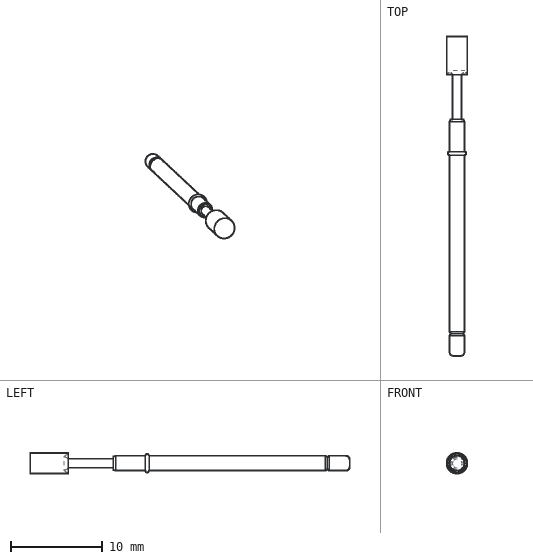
import cadquery as cq


overall_length = 35.1
head_length = 4.2
neck_length = 4.9
collar_setback = 3.75
groove_setback = 2.47

head_diameter = 2.3
neck_diameter = 1.02
barrel_diameter = 1.65
collar_diameter = 2.05

collar_width = 0.4
shoulder_chamfer_length = 0.27
shoulder_chamfer_depth = 0.09
tip_round = 0.44
groove_width = 0.44
groove_depth = 0.15

trench_depth = 0.5
trench_root_diameter = 1.56
trench_rim_width = 0.005

neck_end = neck_length
tip_end = head_length + neck_length - overall_length
collar_centre = -collar_setback
groove_centre = tip_end + groove_setback

head_radius = head_diameter / 2
neck_radius = neck_diameter / 2
barrel_radius = barrel_diameter / 2
collar_radius = collar_diameter / 2
trench_root_radius = trench_root_diameter / 2


def rod(radius, start, length):
    """Round bar about the Y axis running from `start` toward +Y."""
    return cq.Workplane("XZ", origin=(0, start, 0)).circle(radius).extrude(-length)


def revolve_about_y(profile):
    """Full turn of an XY profile about the Y axis."""
    return profile.revolve(360, (0, 0, 0), (0, 1, 0))


def barrel():
    """Barrel with a rounded tip and a chamfered shoulder."""
    body = rod(barrel_radius, tip_end, -tip_end)
    body = body.faces("<Y").edges().fillet(tip_round)
    return body.faces(">Y").edges().chamfer(shoulder_chamfer_length, shoulder_chamfer_depth)


def collar():
    """Press ring with an arc-shaped crown standing on the barrel."""
    half_width = collar_width / 2
    profile = (
        cq.Workplane("XY")
        .moveTo(neck_radius, collar_centre - half_width)
        .lineTo(barrel_radius, collar_centre - half_width)
        .threePointArc(
            (collar_radius, collar_centre),
            (barrel_radius, collar_centre + half_width),
        )
        .lineTo(neck_radius, collar_centre + half_width)
        .close()
    )
    return revolve_about_y(profile)


def groove_cutter():
    """Crimp groove with a shallow V section."""
    half_width = groove_width / 2
    profile = (
        cq.Workplane("XY")
        .moveTo(barrel_radius - groove_depth, groove_centre)
        .lineTo(barrel_radius, groove_centre + half_width)
        .lineTo(head_radius, groove_centre + half_width)
        .lineTo(head_radius, groove_centre - half_width)
        .lineTo(barrel_radius, groove_centre - half_width)
        .close()
    )
    return revolve_about_y(profile)


def head_trench_cutter():
    """Ring-shaped V trench between the neck and the rim of the head."""
    profile = (
        cq.Workplane("XY")
        .moveTo(neck_radius, neck_end)
        .lineTo(trench_root_radius, neck_end + trench_depth)
        .lineTo(head_radius - trench_rim_width, neck_end)
        .close()
    )
    return revolve_about_y(profile)


def plunger():
    """Slim neck, rooted in the barrel, carrying the trenched cylindrical head."""
    neck = rod(neck_radius, collar_centre, neck_end - collar_centre)
    head = rod(head_radius, neck_end, head_length).cut(head_trench_cutter())
    return neck.union(head)


result = barrel().union(collar()).cut(groove_cutter()).union(plunger())